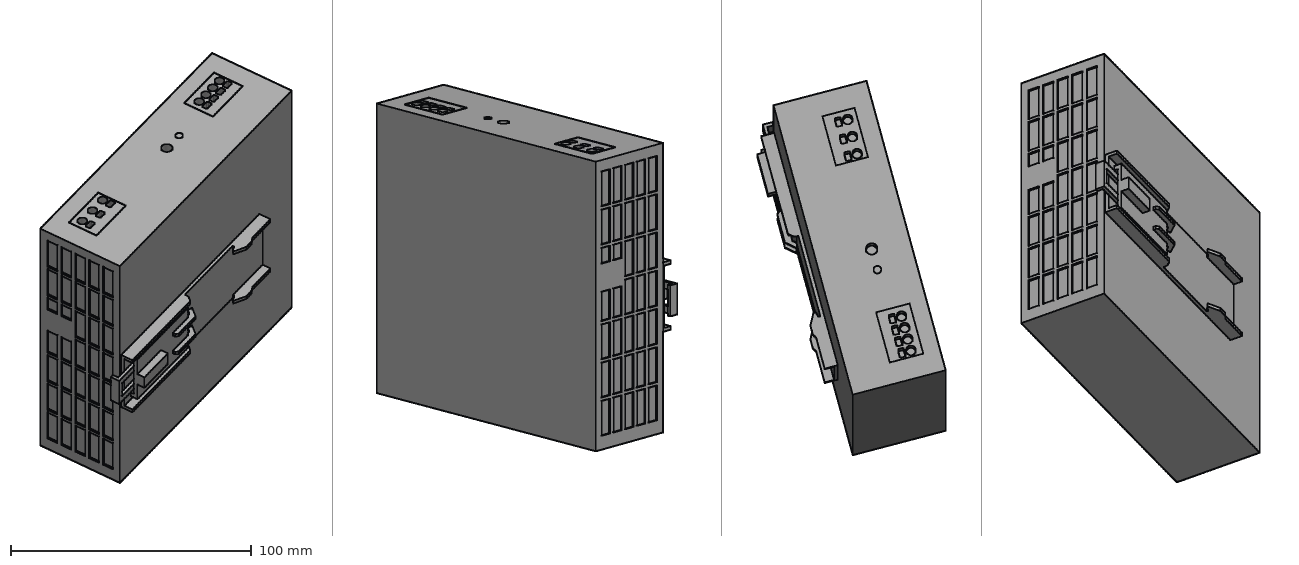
import cadquery as cq


HOUSING_X = 40.0
HOUSING_Y = 127.0
HOUSING_Z = 125.0

VENT_COLUMNS = 5
VENT_ROWS = 7
VENT_WIDTH = 5.0
VENT_HEIGHT = 15.0
VENT_PITCH_X = 7.0
VENT_PITCH_Z = 16.5
VENT_DEPTH = 0.8
VENT_BOTTOM = 6.0
LABEL_COLUMNS = 2
LABEL_BOTTOM = 68.1
LABEL_TOP = 80.3

INLAY_DEPTH = 0.2
FRAME_RIGHT = 21.6
WIRE_HOLE_X = 11.8
WIRE_HOLE_DIAMETER = 4.1
RELEASE_SLOT_X = 15.7
RELEASE_SLOT_WIDTH = 2.5
RELEASE_SLOT_LENGTH = 3.8
RELEASE_SLOT_CORNER = 0.5
TERMINAL_DEPTH = 5.0
OUTPUT_TERMINAL = (7.2, 95.8, 22.0, 4, 100.1, 5.0)
INPUT_TERMINAL = (7.8, 9.8, 21.6, 3, 13.8, 7.5)
INDICATOR_X = 16.4
INDICATOR_Y = 78.5
INDICATOR_DIAMETER = 3.2
TRIMMER_Y = 69.4
TRIMMER_DIAMETER = 4.8

CLIP_Z = 58.0
CLIP_FRONT = 1.0
CLIP_BACK = 103.0
CLIP_WIDTH = 30.0
CLIP_WALL = 1.6
BASE_TOP = HOUSING_X + 1.6
FLANGE_TOP = HOUSING_X + 5.6
UPPER_HOOK_TOP = HOUSING_X + 6.6
RAIL_BACK = 81.0
RAIL_FRONT = 45.8

SLIDER_TOP = HOUSING_X + 5.0
SLIDER_WIDTH = 23.0
SLIDER_FRONT = 5.6
SLIDER_BACK = 43.0
CAVITY_WIDTH = 18.6
CAVITY_BACK = 31.0

BOSS_TOP = HOUSING_X + 8.5
BOSS_WIDTH = 6.0
BOSS_BACK = 23.0

LATCH_TOP = HOUSING_X + 7.2
LATCH_THICKNESS = 1.5
LATCH_OFFSET = 5.1

TAB_WIDTH = 13.4
TAB_THICKNESS = 1.6
TAB_TOP = BASE_TOP + TAB_THICKNESS
TAB_FRONT = -5.2
LIP_THICKNESS = 1.5
LIP_END = HOUSING_X - 1.0
TAB_WINDOW_WIDTH = 7.3
TAB_WINDOW_FRONT = -3.1
TAB_WINDOW_BACK = 10.0


def block(x0, x1, y0, y1, z0, z1):
    """Box between two corners."""
    return cq.Workplane("XY").box(x1 - x0, y1 - y0, z1 - z0, centered=False).translate((x0, y0, z0))


def clip_block(x0, x1, y0, y1, width):
    """Box centred on the clip's symmetry plane."""
    return block(x0, x1, y0, y1, CLIP_Z - width / 2, CLIP_Z + width / 2)


def clip_plate(outline, z_centre, thickness):
    """Flat XY outline extruded evenly about a Z height."""
    plate = cq.Workplane("XY").polyline(outline).close().extrude(thickness)
    return plate.translate((0, 0, z_centre - thickness / 2))


def top_hole(x, y, diameter, depth):
    """Cutter for a round blind hole in the +Z face."""
    return cq.Workplane("XY").circle(diameter / 2).extrude(depth).translate((x, y, HOUSING_Z - depth))


def vent(column, z0, z1):
    """Cutter for one vent recess."""
    centre = HOUSING_X / 2 + (column - (VENT_COLUMNS - 1) / 2) * VENT_PITCH_X
    return block(centre - VENT_WIDTH / 2, centre + VENT_WIDTH / 2, 0, VENT_DEPTH, z0, z1)


def cut_vents(body):
    for column in range(VENT_COLUMNS):
        for row in range(VENT_ROWS):
            bottom = VENT_BOTTOM + row * VENT_PITCH_Z
            top = bottom + VENT_HEIGHT
            if column < LABEL_COLUMNS:
                if bottom < LABEL_BOTTOM < top:
                    top = LABEL_BOTTOM
                elif bottom < LABEL_TOP < top:
                    bottom = LABEL_TOP
            body = body.cut(vent(column, bottom, top))
    return body


def cut_terminal(body, terminal):
    left, front, length, poles, first_pole, pitch = terminal
    inlay_floor = HOUSING_Z - INLAY_DEPTH
    body = body.cut(block(left, FRAME_RIGHT, front, front + length, inlay_floor, HOUSING_Z))
    release_slot = (
        cq.Workplane("XY")
        .box(RELEASE_SLOT_WIDTH, RELEASE_SLOT_LENGTH, TERMINAL_DEPTH, centered=(True, True, False))
        .edges("|Z")
        .fillet(RELEASE_SLOT_CORNER)
        .translate((RELEASE_SLOT_X, 0, HOUSING_Z - TERMINAL_DEPTH))
    )
    for pole in range(poles):
        y = first_pole + pole * pitch
        body = body.cut(top_hole(WIRE_HOLE_X, y, WIRE_HOLE_DIAMETER, TERMINAL_DEPTH))
        body = body.cut(release_slot.translate((0, y, 0)))
    return body


def make_housing():
    body = block(0, HOUSING_X, 0, HOUSING_Y, 0, HOUSING_Z)
    body = cut_vents(body)
    for terminal in (OUTPUT_TERMINAL, INPUT_TERMINAL):
        body = cut_terminal(body, terminal)
    body = body.cut(top_hole(INDICATOR_X, INDICATOR_Y, INDICATOR_DIAMETER, INLAY_DEPTH))
    body = body.cut(top_hole(INDICATOR_X, TRIMMER_Y, TRIMMER_DIAMETER, TERMINAL_DEPTH))
    return body


def make_rail_channel():
    """Base plate with two flanges that carry the fixed hooks."""
    outline = [
        (HOUSING_X, CLIP_BACK),
        (FLANGE_TOP, CLIP_BACK),
        (FLANGE_TOP, 89.4),
        (UPPER_HOOK_TOP, 87.7),
        (UPPER_HOOK_TOP, 83.7),
        (HOUSING_X + 3.7, 78.3),
        (HOUSING_X + 2.8, 79.3),
        (HOUSING_X + 2.4, RAIL_BACK),
        (BASE_TOP, RAIL_BACK),
        (BASE_TOP, RAIL_FRONT),
        (HOUSING_X + 2.1, RAIL_FRONT),
        (HOUSING_X + 3.8, 45.4),
        (FLANGE_TOP, 43.8),
        (FLANGE_TOP, CLIP_FRONT),
        (HOUSING_X, CLIP_FRONT),
    ]
    channel = clip_block(HOUSING_X, BASE_TOP, CLIP_FRONT, CLIP_BACK, CLIP_WIDTH)
    flange_offset = (CLIP_WIDTH - CLIP_WALL) / 2
    for side in (-1, 1):
        channel = channel.union(clip_plate(outline, CLIP_Z + side * flange_offset, CLIP_WALL))
    return channel


def make_slider():
    """Hollow slider with a grip boss and two latch plates."""
    slider = clip_block(BASE_TOP, SLIDER_TOP, SLIDER_FRONT, SLIDER_BACK, SLIDER_WIDTH)
    slider = slider.cut(clip_block(BASE_TOP, TAB_TOP, SLIDER_FRONT, CAVITY_BACK, CAVITY_WIDTH))
    slider = slider.union(clip_block(SLIDER_TOP, BOSS_TOP, SLIDER_FRONT, BOSS_BACK, BOSS_WIDTH))
    latch_outline = [
        (HOUSING_X + 3.1, 48.8),
        (LATCH_TOP, 45.3),
        (LATCH_TOP, 32.8),
        (HOUSING_X + 6.2, 31.8),
        (HOUSING_X + 4.0, 31.8),
        (HOUSING_X + 4.0, 45.4),
        (HOUSING_X + 2.5, 46.6),
    ]
    for side in (-1, 1):
        slider = slider.union(clip_plate(latch_outline, CLIP_Z + side * LATCH_OFFSET, LATCH_THICKNESS))
    return slider


def make_tab():
    """Release tab: a windowed plate with its end turned toward -X."""
    plate = clip_block(BASE_TOP, TAB_TOP, TAB_FRONT, CAVITY_BACK, TAB_WIDTH)
    window = clip_block(BASE_TOP, TAB_TOP, TAB_WINDOW_FRONT, TAB_WINDOW_BACK, TAB_WINDOW_WIDTH)
    lip = clip_block(LIP_END, TAB_TOP, TAB_FRONT, TAB_FRONT + LIP_THICKNESS, TAB_WIDTH)
    return plate.cut(window).union(lip)


result = make_housing().union(make_rail_channel()).union(make_slider()).union(make_tab())